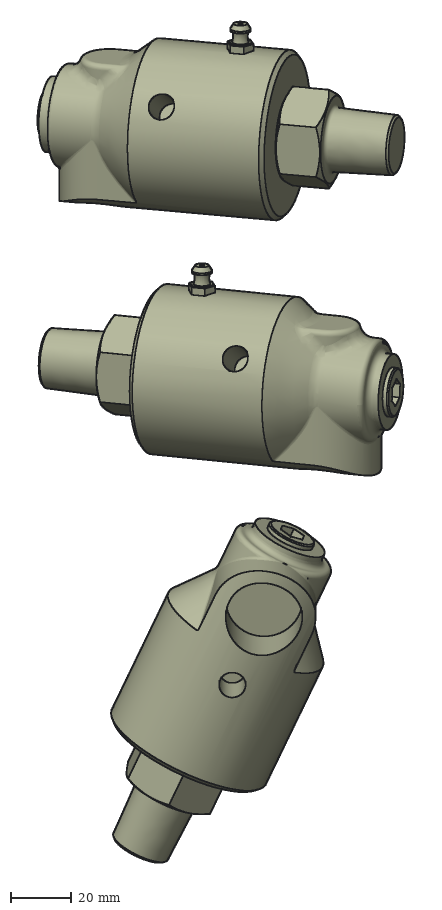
import cadquery as cq
import math


body_radius = 28.5
body_end_x = 84.3
body_end_chamfer = 1.5
cone_end_x = 37.4
neck_radius = 17.5
neck_face_x = 6.0
neck_edge_radius = 1.7
neck_cone_blend = 5.6
cone_angle = math.radians(37.5)

plug_radius = 12.7
plug_face_x = 2.0
plug_blend = 2.2
screw_radius = 16.5 / 2
screw_chamfer = 0.5
socket_flats = 8.0
socket_depth = 3.7
socket_turn = 7.0

port_boss_radius = neck_radius
port_boss_x = neck_face_x + port_boss_radius
port_boss_blend = 1.1
port_hole_radius = 25.4 / 2
port_hole_x = 22.7
port_hole_depth = 19.5

pad_x = 22.9
pad_radius = 9.9
pad_top_z = 22.0
pad_blend = 4.9
pad_edge_radius = 1.8
pad_length = 11.0

radial_hole_radius = 4.4
radial_hole_x = 48.0
radial_hole_depth = 14.7
radial_hole_angles = (30, 150, 270)

collar_radius = 27.9 / 2
hexagon_start_x = 84.7
hexagon_end_x = 100.2
hexagon_flats = 30.0
hexagon_face_radius = 14.7
hexagon_chamfer_angle = math.radians(30)
thread_end_x = 122.2
thread_start_radius = 10.8
thread_taper = 1 / 32
thread_root_blend = 1.2
thread_end_chamfer = 0.7

nipple_x = 68.1
nipple_flats = 8.0
nipple_hexagon_top_z = 31.2
nipple_hexagon_chamfer = 0.4
nipple_base_radius = 2.8
nipple_waist_radius = 2.5
nipple_waist_z = 33.2
nipple_neck_top_radius = 2.8
nipple_head_radius = 3.4
nipple_head_bottom_z = 35.1
nipple_head_edge_z = 35.8
nipple_top_radius = 2.3
nipple_top_z = 37.5
nipple_bore_radius = 0.7
nipple_bore_depth = 1.8
nipple_embed = 1.2

margin = 0.1


def corner_diameter(flats):
    """Diameter over the corners of a hexagon with the given width across flats."""
    return flats / math.cos(math.pi / 6)


def revolve_about_x(profile):
    return profile.close().revolve(360, (0, 0, 0), (1, 0, 0))


def make_housing():
    """Plug, neck, cone and body as one revolved solid with a rounded neck-to-cone transition."""
    cone_start_radius = neck_radius + neck_cone_blend * (1 - math.cos(cone_angle))
    cone_start_x = cone_end_x - (body_radius - cone_start_radius) / math.tan(cone_angle)
    neck_end_x = cone_start_x - neck_cone_blend * math.sin(cone_angle)
    profile = (
        cq.Workplane("XY")
        .moveTo(plug_face_x, 0)
        .lineTo(plug_face_x, plug_radius)
        .lineTo(neck_face_x - plug_blend, plug_radius)
        .radiusArc((neck_face_x, plug_radius + plug_blend), -plug_blend)
        .lineTo(neck_face_x, neck_radius - neck_edge_radius)
        .radiusArc((neck_face_x + neck_edge_radius, neck_radius), neck_edge_radius)
        .lineTo(neck_end_x, neck_radius)
        .radiusArc((cone_start_x, cone_start_radius), -neck_cone_blend)
        .lineTo(cone_end_x, body_radius)
        .lineTo(body_end_x - body_end_chamfer, body_radius)
        .lineTo(body_end_x, body_radius - body_end_chamfer)
        .lineTo(body_end_x, 0)
    )
    return revolve_about_x(profile)


def round_nosed_prism(nose_x, radius, length, end_z):
    """Prism from z = 0 to end_z: a half circle centred at nose_x, then parallel sides towards +X."""
    return (
        cq.Workplane("XY")
        .moveTo(nose_x + length, -radius)
        .lineTo(nose_x, -radius)
        .threePointArc((nose_x - radius, 0), (nose_x, radius))
        .lineTo(nose_x + length, radius)
        .close()
        .extrude(end_z)
    )


def make_port_boss():
    prism = round_nosed_prism(port_boss_x, port_boss_radius, cone_end_x - port_boss_x, -body_radius)
    envelope = cq.Workplane("YZ").circle(body_radius).extrude(body_end_x)
    return prism.intersect(envelope)


def make_pad():
    pad = round_nosed_prism(pad_x, pad_radius, pad_length, pad_top_z)
    return pad.faces(">Z").edges().fillet(pad_edge_radius)


def curved_edges_in(part, low_corner, high_corner):
    """Curved edges whose centres lie inside the box between the two corners."""
    box = cq.selectors.BoxSelector(low_corner, high_corner)
    return part.edges(box).edges("not %LINE")


def blend_pad(part):
    """Fillet the concave seam around the pad, at its foot and where its top meets the cone."""
    half_width = pad_radius + margin
    rim_z = pad_top_z - pad_edge_radius
    foot_z = math.sqrt(neck_radius**2 - pad_radius**2)
    foot = curved_edges_in(
        part,
        (pad_x - pad_radius, -half_width, foot_z - margin),
        (pad_x + pad_radius, half_width, rim_z - margin),
    )
    back = curved_edges_in(
        part,
        (pad_x + pad_radius / 2, -half_width, rim_z),
        (pad_x + pad_length, half_width, pad_top_z + margin),
    )
    return foot.add(back).fillet(pad_blend)


def blend_port_boss(part):
    """Fillet the concave seam between the port boss and the neck and cone above it."""
    neck_edge_x = neck_face_x + neck_edge_radius
    half_width = port_boss_radius + margin
    sides = curved_edges_in(
        part,
        (neck_edge_x + margin, -half_width, -port_boss_radius),
        (cone_end_x - margin, half_width, -margin),
    )
    front = curved_edges_in(
        part,
        (neck_face_x + margin, -port_boss_radius / 2, -neck_radius),
        (neck_edge_x - margin, port_boss_radius / 2, margin - neck_radius + neck_edge_radius),
    )
    return sides.add(front).fillet(port_boss_blend)


def make_socket_cut():
    """Hexagon socket, turned about X from having a corner straight up."""
    return (
        cq.Workplane("YZ")
        .polygon(6, corner_diameter(socket_flats))
        .extrude(socket_depth)
        .rotate((0, 0, 0), (1, 0, 0), socket_turn + 90)
    )


def make_screw():
    screw = cq.Workplane("YZ").circle(screw_radius).extrude(plug_face_x)
    return screw.faces("<X").chamfer(screw_chamfer)


def make_port_hole():
    return (
        cq.Workplane("XY", origin=(port_hole_x, 0, -body_radius))
        .circle(port_hole_radius)
        .extrude(port_hole_depth)
    )


def make_radial_hole(angle):
    """Radial blind hole; the angle is measured about X from +Y towards +Z."""
    return (
        cq.Workplane("XY", origin=(radial_hole_x, 0, body_radius - radial_hole_depth))
        .circle(radial_hole_radius)
        .extrude(2 * radial_hole_depth)
        .rotate((0, 0, 0), (1, 0, 0), angle - 90)
    )


def make_collar():
    return (
        cq.Workplane("YZ", origin=(body_end_x, 0, 0))
        .circle(collar_radius)
        .extrude(hexagon_start_x - body_end_x)
    )


def make_hexagon():
    """Hexagon with flats facing +Y and -Y and both faces chamfered."""
    corner_radius = corner_diameter(hexagon_flats) / 2
    chamfer_length = (corner_radius - hexagon_face_radius) * math.tan(hexagon_chamfer_angle)
    prism = (
        cq.Workplane("YZ", origin=(hexagon_start_x, 0, 0))
        .polygon(6, 2 * corner_radius)
        .extrude(hexagon_end_x - hexagon_start_x)
        .rotate((0, 0, 0), (1, 0, 0), 90)
    )
    envelope = revolve_about_x(
        cq.Workplane("XY")
        .moveTo(hexagon_start_x, 0)
        .lineTo(hexagon_start_x, hexagon_face_radius)
        .lineTo(hexagon_start_x + chamfer_length, corner_radius)
        .lineTo(hexagon_end_x - chamfer_length, corner_radius)
        .lineTo(hexagon_end_x, hexagon_face_radius)
        .lineTo(hexagon_end_x, 0)
    )
    return prism.intersect(envelope)


def make_threaded_end():
    """Plain taper with a concave root against the hexagon and a chamfered tip."""
    start_x = hexagon_end_x + thread_root_blend
    end_radius = thread_start_radius - thread_taper * (thread_end_x - start_x)
    profile = (
        cq.Workplane("XY")
        .moveTo(hexagon_end_x, 0)
        .lineTo(hexagon_end_x, thread_start_radius + thread_root_blend)
        .radiusArc((start_x, thread_start_radius), -thread_root_blend)
        .lineTo(thread_end_x - thread_end_chamfer, end_radius)
        .lineTo(thread_end_x, end_radius - thread_end_chamfer)
        .lineTo(thread_end_x, 0)
    )
    return revolve_about_x(profile)


def make_nipple():
    hexagon_bottom_z = body_radius - nipple_embed
    hexagon = (
        cq.Workplane("XY", origin=(0, 0, hexagon_bottom_z))
        .polygon(6, corner_diameter(nipple_flats))
        .extrude(nipple_hexagon_top_z - hexagon_bottom_z)
        .faces(">Z")
        .chamfer(nipple_hexagon_chamfer)
    )
    head = (
        cq.Workplane("XZ")
        .moveTo(0, hexagon_bottom_z)
        .lineTo(nipple_base_radius, hexagon_bottom_z)
        .lineTo(nipple_base_radius, nipple_hexagon_top_z)
        .threePointArc(
            (nipple_waist_radius, nipple_waist_z),
            (nipple_neck_top_radius, nipple_head_bottom_z),
        )
        .lineTo(nipple_head_radius, nipple_head_bottom_z)
        .lineTo(nipple_head_radius, nipple_head_edge_z)
        .lineTo(nipple_top_radius, nipple_top_z)
        .lineTo(0, nipple_top_z)
        .close()
        .revolve(360, (0, 0, 0), (0, 1, 0))
    )
    nipple = hexagon.union(head)
    nipple = nipple.faces(">Z").workplane().hole(2 * nipple_bore_radius, nipple_bore_depth)
    return nipple.translate((nipple_x, 0, 0))


result = blend_pad(make_housing().union(make_pad()))
result = blend_port_boss(result.union(make_port_boss()))
for added in (make_screw(), make_collar(), make_hexagon(), make_threaded_end(), make_nipple()):
    result = result.union(added)
result = result.cut(make_socket_cut()).cut(make_port_hole())
for radial_hole_angle in radial_hole_angles:
    result = result.cut(make_radial_hole(radial_hole_angle))